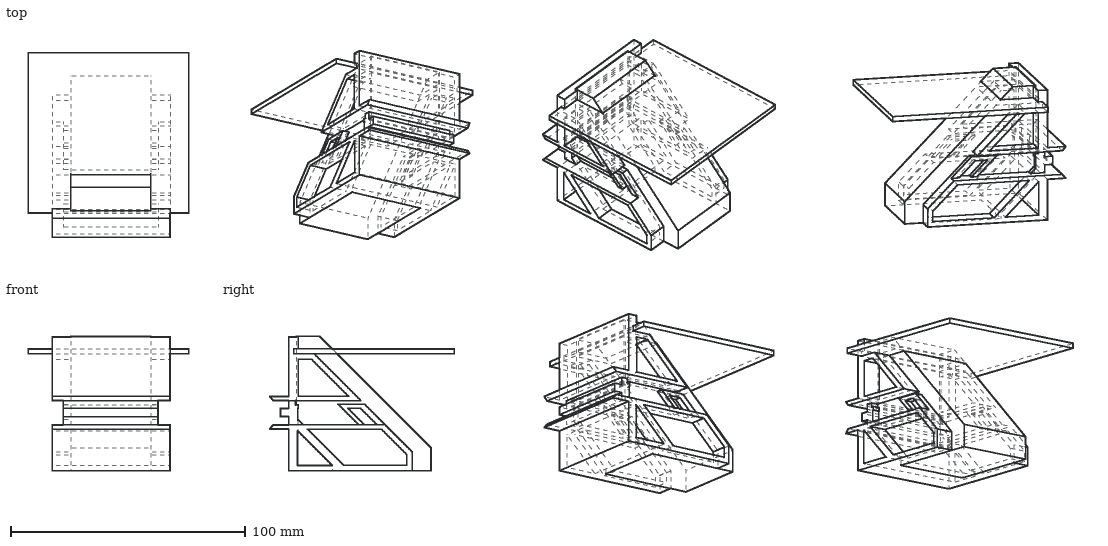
import cadquery as cq


housing_width = 50.5
middle_width = 40.6
core_width = 34.3
inner_offset = -0.15

plate_width = 68.6
plate_length = 68.6
plate_offset = -1.1
plate_rear = 70.9
plate_bottom = 49.9
plate_thickness = 2.2

housing_top = 57.2
floor_thickness = 2.4
flange_thickness = 1.8
lower_flange_top = 19.7
lower_flange_bottom = lower_flange_top - flange_thickness
upper_flange_bottom = 30.0
upper_flange_top = upper_flange_bottom + flange_thickness
plate_ledge_thickness = 2.4
upper_window_top = plate_bottom - plate_ledge_thickness

upper_wall = 4.2
lower_wall = 3.9
housing_rear = 52.85
rear_wall = 2.4
window_rear = housing_rear - rear_wall

housing_slope = 60.9
window_slope = 57.4
strut_upper_slope = 25.9
strut_lower_slope = 20.9

flange_reach = 79 - plate_rear
lip_setback = 1.6
rib_reach = 3.55
rib_bottom = 23.15
rib_top = 26.7

duct_top = 28.5
duct_roof = 1.8
duct_window_top = duct_top - duct_roof
duct_front_slope = 49.6
duct_window_slope = 52.1

relief_bottom = 28.2
relief_wall = 2.9

core_top = 57.5
core_rear = 60.9
core_knee = 9.9
core_slope = core_rear + core_knee
core_front = 3.2


def extrude_profile(points, width, center=0):
    """Extrude a closed (y, z) outline along X, centred on the given X."""
    return (
        cq.Workplane("YZ").workplane(offset=center - width / 2)
        .polyline(points).close().extrude(width)
    )


def make_core():
    """Sloped block joining the strut line to the rear and rising past the plate."""
    outline = [
        (core_rear, 0),
        (core_rear, core_knee),
        (core_slope - core_top, core_top),
        (core_front, core_top),
        (core_front, relief_bottom),
        (lower_wall, relief_bottom),
        (lower_wall, strut_lower_slope - lower_wall),
        (strut_lower_slope - floor_thickness, floor_thickness),
        (strut_lower_slope - floor_thickness, 0),
    ]
    return extrude_profile(outline, core_width, inner_offset)


def make_plate(core):
    """Square plate with an opening that the core passes through."""
    plate = cq.Workplane("XY").box(
        plate_width, plate_length, plate_thickness, centered=(True, False, False)
    ).translate((plate_offset, plate_rear - plate_length, plate_bottom))
    return plate.cut(core)


def make_lower_section():
    """Lower box with its flange, a sloped strut and two openings."""
    outline = [
        (0, 0),
        (housing_rear, 0),
        (housing_rear, housing_slope - housing_rear),
        (housing_slope - lower_flange_top, lower_flange_top),
        (lip_setback - flange_reach, lower_flange_top),
        (-flange_reach, lower_flange_bottom),
        (0, lower_flange_bottom),
    ]
    window = [
        (strut_upper_slope - floor_thickness, floor_thickness),
        (window_rear, floor_thickness),
        (window_rear, window_slope - window_rear),
        (window_slope - lower_flange_bottom, lower_flange_bottom),
        (strut_upper_slope - lower_flange_bottom, lower_flange_bottom),
    ]
    triangle = [
        (lower_wall, floor_thickness),
        (strut_lower_slope - floor_thickness, floor_thickness),
        (lower_wall, strut_lower_slope - lower_wall),
    ]
    section = extrude_profile(outline, housing_width)
    for opening in (window, triangle):
        section = section.cut(extrude_profile(opening, housing_width))
    return section


def make_upper_section():
    """Upper box with its flange, a window and the front wall above the plate."""
    outline = [
        (0, upper_flange_top),
        (-flange_reach, upper_flange_top),
        (lip_setback - flange_reach, upper_flange_bottom),
        (housing_slope - upper_flange_bottom, upper_flange_bottom),
        (housing_slope - plate_bottom, plate_bottom),
        (upper_wall, plate_bottom),
        (upper_wall, housing_top),
        (0, housing_top),
    ]
    window = [
        (upper_wall, upper_flange_top),
        (window_slope - upper_flange_top, upper_flange_top),
        (window_slope - upper_window_top, upper_window_top),
        (upper_wall, upper_window_top),
    ]
    return extrude_profile(outline, housing_width).cut(extrude_profile(window, housing_width))


def make_middle_wall():
    """Narrow front wall joining the two sections, with the rib on its front."""
    outline = [
        (0, lower_flange_top),
        (0, rib_bottom),
        (-rib_reach, rib_bottom),
        (-rib_reach, rib_top),
        (0, rib_top),
        (0, upper_flange_bottom),
        (relief_wall, upper_flange_bottom),
        (relief_wall, relief_bottom),
        (upper_wall, relief_bottom),
        (upper_wall, rib_top),
        (lower_wall, rib_top),
        (lower_wall, strut_upper_slope - lower_wall),
        (strut_upper_slope - lower_flange_top, lower_flange_top),
    ]
    return extrude_profile(outline, middle_width, inner_offset)


def make_duct():
    """Sloped hollow frame standing on the lower flange behind the middle wall."""
    outline = [
        (duct_front_slope - lower_flange_top, lower_flange_top),
        (housing_slope - lower_flange_top, lower_flange_top),
        (housing_slope - duct_top, duct_top),
        (duct_front_slope - duct_top, duct_top),
    ]
    window = [
        (duct_window_slope - lower_flange_top, lower_flange_top),
        (window_slope - lower_flange_top, lower_flange_top),
        (window_slope - duct_window_top, duct_window_top),
        (duct_window_slope - duct_window_top, duct_window_top),
    ]
    duct = extrude_profile(outline, middle_width, inner_offset)
    return duct.cut(extrude_profile(window, middle_width, inner_offset))


def make_housing(core, plate):
    """Housing recessed for the core and slotted for the plate's front edge."""
    housing = make_lower_section().union(make_upper_section())
    housing = housing.union(make_middle_wall()).union(make_duct())
    return housing.cut(core).cut(plate)


core = make_core()
plate = make_plate(core)
housing = make_housing(core, plate)

result = cq.Compound.makeCompound([
    housing.solids().val(),
    core.val(),
    plate.solids().val(),
])